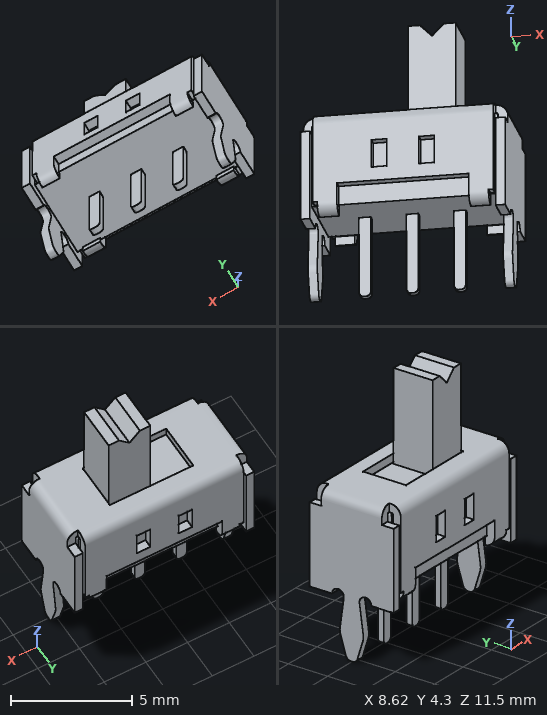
import cadquery as cq


cover_length = 8.62
cover_width = 4.3
cover_top = 4.0
sheet = 0.4
bend_radius = 0.5
inner_bend_radius = bend_radius - sheet
long_wall_length = 7.6
long_wall_bottom = 0.05
corner_notch_depth = 0.8
end_bend_width = 3.1
end_wall_bottom = -0.67

slot_length = 4.0
slot_width = 2.2
window_width = 0.65
window_height = 1.2
window_spacing = 2.0
window_center_z = 2.02
relief_length = 5.55

tab_length = 0.83

tip_z = -3.5
leg_notch_radius = 0.3
leg_neck_half_width = 0.4
leg_belly_half_width = 0.62
leg_belly_z = -2.27
leg_belly_radius = 0.75
leg_toe_half_width = 0.24
leg_toe_radius = 0.26

body_length = cover_length - 2 * sheet
body_width = cover_width - 2 * sheet
base_thickness = 0.82
block_top = cover_top - sheet
stem_size = 2.0
stem_center_x = (slot_length - stem_size) / 2
stem_height_above_cover = 4.0
stem_top = cover_top + stem_height_above_cover
groove_width = 1.0
groove_depth = 0.5

pin_pitch = 2.0
pin_width = 0.5
pin_thickness = 0.3
pin_tip_radius = 0.2


def box_between(length, width, bottom, top, center_x=0):
    """Upright box centred at x = center_x, from z = bottom to z = top."""
    return (
        cq.Workplane("XY", origin=(center_x, 0, bottom))
        .box(length, width, top - bottom, centered=(True, True, False))
    )


def make_long_wall_channel():
    """Roof and the two long walls, each with a tab curled under the base plate."""
    curl_bottom = long_wall_bottom - bend_radius
    inner_height = (curl_bottom + sheet, cover_top - sheet)
    outer = box_between(long_wall_length, cover_width, curl_bottom, cover_top).edges("|X").fillet(bend_radius)
    inner = box_between(long_wall_length, body_width, *inner_height).edges("|X").fillet(inner_bend_radius)
    channel = outer.cut(inner)

    floor_width = cover_width - 2 * bend_radius
    channel = channel.cut(box_between(long_wall_length, floor_width, curl_bottom, 0))

    channel = channel.cut(box_between(long_wall_length, body_width, 0, base_thickness))

    channel = channel.cut(box_between(relief_length, cover_width, curl_bottom, base_thickness))
    outer_trim = (long_wall_length - relief_length) / 2 - tab_length
    for side in (-1, 1):
        trim_x = side * (long_wall_length - outer_trim) / 2
        channel = channel.cut(box_between(outer_trim, cover_width, curl_bottom, long_wall_bottom, trim_x))
    return channel


def make_end_wall_channel():
    """Roof strip bent down at both ends."""
    outer = box_between(cover_length, end_bend_width, end_wall_bottom, cover_top)
    outer = outer.edges("|Y and >Z").fillet(bend_radius)
    inner = box_between(body_length, end_bend_width, end_wall_bottom, cover_top - sheet)
    inner = inner.edges("|Y and >Z").fillet(inner_bend_radius)
    channel = outer.cut(inner)
    wall_center_x = (cover_length - sheet) / 2
    wall_top = cover_top - corner_notch_depth
    for side in (-1, 1):
        channel = channel.union(
            box_between(sheet, cover_width, end_wall_bottom, wall_top, side * wall_center_x)
        )
    return channel


def make_leg_notches():
    """Round notches in the end walls' lower edges, on both sides of each leg."""
    notch_y = leg_neck_half_width + leg_notch_radius
    return (
        cq.Workplane("YZ", origin=(0, 0, end_wall_bottom))
        .pushPoints([(-notch_y, 0), (notch_y, 0)])
        .circle(leg_notch_radius)
        .extrude(cover_length, both=True)
    )


def make_leg(outer_x):
    """Snap-in leg that widens to a belly and tapers to a rounded toe."""
    right_side = [
        (leg_neck_half_width, end_wall_bottom),
        (leg_belly_half_width, leg_belly_z),
        (leg_toe_half_width, tip_z),
    ]
    left_side = [(-y, z) for y, z in reversed(right_side)]
    leg = cq.Workplane("YZ", origin=(outer_x, 0, 0)).polyline(right_side + left_side).close().extrude(sheet)
    leg = leg.edges("|X and <Z").fillet(leg_toe_radius)
    return leg.edges("|X and (>Y or <Y)").fillet(leg_belly_radius)


def make_cover():
    cover = make_long_wall_channel().union(make_end_wall_channel())
    cover = cover.cut(make_leg_notches())
    for start_x in (-cover_length / 2, cover_length / 2 - sheet):
        cover = cover.union(make_leg(start_x))
    cover = cover.cut(box_between(slot_length, slot_width, block_top, cover_top))
    window_bottom = window_center_z - window_height / 2
    window_top = window_center_z + window_height / 2
    for side in (-1, 1):
        window_x = side * window_spacing / 2
        cover = cover.cut(box_between(window_width, cover_width, window_bottom, window_top, window_x))
    return cover


def make_base():
    return box_between(body_length, body_width, 0, base_thickness)


def make_slider():
    """Block that fills the cover above the base plate, with a grooved stem."""
    block = box_between(body_length, body_width, base_thickness, block_top)
    block = block.faces(">Z").edges().fillet(inner_bend_radius)
    stem = box_between(stem_size, stem_size, block_top, stem_top, stem_center_x)
    groove = (
        cq.Workplane("XZ", origin=(stem_center_x, 0, stem_top))
        .polyline([(-groove_width / 2, 0), (0, -groove_depth), (groove_width / 2, 0)])
        .close()
        .extrude(stem_size, both=True)
    )
    return block.union(stem).cut(groove)


def make_pin(center_x):
    """Flat pin hanging from the base plate, with its tip rounded across the width."""
    pin = box_between(pin_width, pin_thickness, tip_z, 0, center_x)
    return pin.edges("|Y and <Z").fillet(pin_tip_radius)


cover = make_cover()
base = make_base()
slider = make_slider()
pins = [make_pin(index * pin_pitch) for index in (-1, 0, 1)]

result = cq.Compound.makeCompound(
    [cover.val(), base.val(), slider.val(), *[pin.val() for pin in pins]]
)